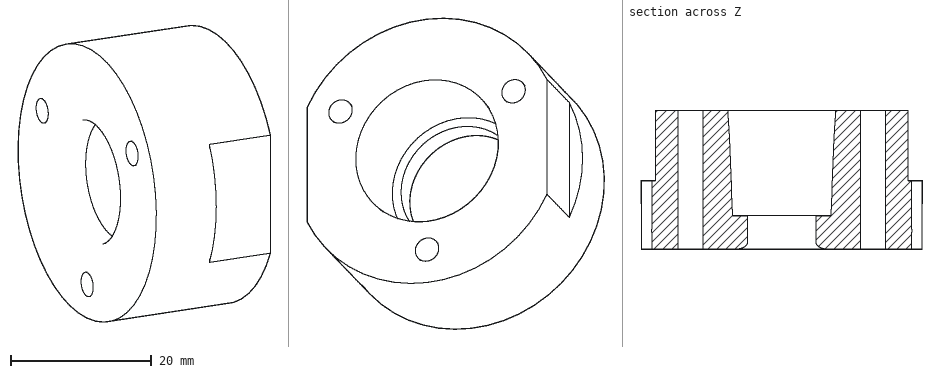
import cadquery as cq

outer_diameter = 40.0
thickness = 19.8
bore_diameter = 17.85
bore_edge_radius = 1.0
front_bore_length = 4.8
taper_start_diameter = 20.5
taper_end_diameter = 21.4
flat_spacing = 36.0
flat_length = 10.0
bolt_circle_radius = 15.0
bolt_hole_diameter = 3.5
bolt_hole_count = 3
first_hole_angle = -90.0


def ring():
    """Ring with a rounded mouth at the front and a wider, slightly tapered bore behind it."""
    outer_radius = outer_diameter / 2
    bore_radius = bore_diameter / 2
    taper_start_radius = taper_start_diameter / 2
    taper_end_radius = taper_end_diameter / 2
    mouth_radius = bore_radius + bore_edge_radius
    return (
        cq.Workplane("YZ")
        .moveTo(0, -outer_radius)
        .lineTo(thickness, -outer_radius)
        .lineTo(thickness, -taper_end_radius)
        .lineTo(front_bore_length, -taper_start_radius)
        .lineTo(front_bore_length, -bore_radius)
        .lineTo(bore_edge_radius, -bore_radius)
        .radiusArc((0, -mouth_radius), -bore_edge_radius)
        .close()
        .revolve(360, (0, 0, 0), (1, 0, 0))
    )


def bolt_holes():
    """Through holes evenly spaced on the bolt circle."""
    return (
        cq.Workplane("XZ")
        .polarArray(bolt_circle_radius, first_hole_angle, 360, bolt_hole_count)
        .circle(bolt_hole_diameter / 2)
        .extrude(-thickness)
    )


def side_flat(side):
    """Material removed at the back of the ring to leave a flat on one side."""
    cut_width = outer_diameter - flat_spacing
    return cq.Workplane("XY").box(cut_width, flat_length, outer_diameter).translate(
        (side * (flat_spacing + cut_width) / 2, thickness - flat_length / 2, 0)
    )


result = ring().cut(bolt_holes())
for side in (-1, 1):
    result = result.cut(side_flat(side))